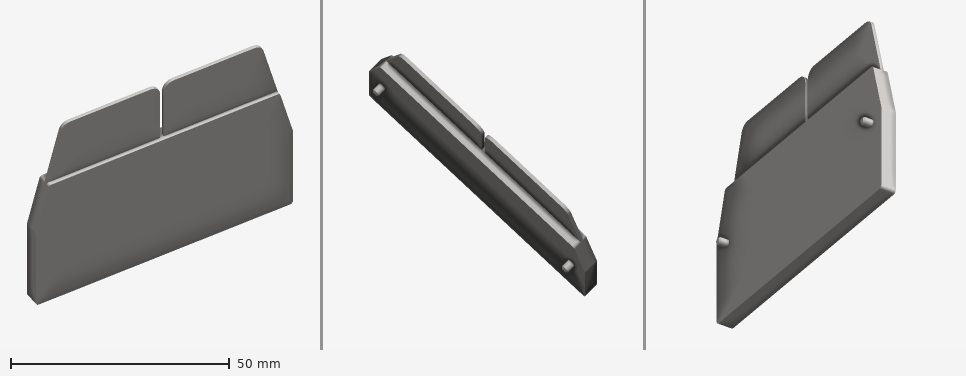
import cadquery as cq
import math

body_thickness = 4.0
body_width = 68.5
body_height = 35.15
shoulder_height = 22.05
side_slope = math.radians(15)
body_corner_radius = 0.8

full_height = 51.0
tab_offset = 2.05
tab_thickness = 0.9
tab_gap = 1.0
tab_corner_radius = 2.55

pin_diameter = 2.0
pin_length = 2.55
pin_chamfer = 0.4
pin_spacing = 60.0
pin_height = 19.7


def half_width_at(height):
    """Half width between the sloping sides, at or above the shoulders."""
    return body_width / 2 - (height - shoulder_height) * math.tan(side_slope)


def make_body():
    half_base = body_width / 2
    half_top = half_width_at(body_height)
    outline = [
        (-half_base, 0),
        (half_base, 0),
        (half_base, shoulder_height),
        (half_top, body_height),
        (-half_top, body_height),
        (-half_base, shoulder_height),
    ]
    plate = cq.Workplane("YZ").polyline(outline).close().extrude(body_thickness)
    return plate.edges("|X").fillet(body_corner_radius)


def make_tab(side):
    """One tab on the +Y (side = 1) or -Y (side = -1) half, rooted inside the body."""
    root_height = shoulder_height + body_corner_radius
    inner = tab_gap / 2
    outline = [
        (side * inner, root_height),
        (side * half_width_at(root_height), root_height),
        (side * half_width_at(full_height), full_height),
        (side * inner, full_height),
    ]
    tab = cq.Workplane("YZ", origin=(tab_offset, 0, 0)).polyline(outline).close().extrude(tab_thickness)
    return tab.edges("|X and >Z").fillet(tab_corner_radius)


def make_pin(side):
    pin = (
        cq.Workplane("YZ", origin=(0, side * pin_spacing / 2, pin_height))
        .circle(pin_diameter / 2)
        .extrude(-pin_length)
    )
    return pin.faces("<X").chamfer(pin_chamfer)


result = make_body()
for side in (-1, 1):
    result = result.union(make_tab(side)).union(make_pin(side))